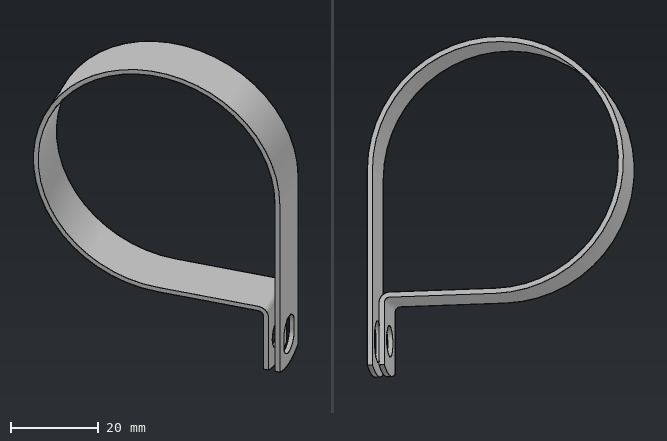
import cadquery as cq
import math

total_height = 76.55
loop_diameter = 59.55
strap_width = 12.7
thickness = 1.2
tab_gap = 1.5
bend_inner_radius = 1.2
hole_diameter = 7.1
slot_length = 9.5
hole_height = 7.95
end_radius = 15.0

outer_radius = loop_diameter / 2
inner_radius = outer_radius - thickness
bottom_z = outer_radius - total_height
short_tab_outer_x = inner_radius - tab_gap
short_tab_inner_x = short_tab_outer_x - thickness
bend_outer_radius = bend_inner_radius + thickness
bend_center_x = short_tab_outer_x - bend_outer_radius
bend_center_z = -outer_radius - bend_inner_radius


def on_circle(radius, degrees, center_x=0.0, center_z=0.0):
    """Point at an angle on a circle in the XZ plane."""
    angle = math.radians(degrees)
    return (center_x + radius * math.cos(angle), center_z + radius * math.sin(angle))


def bend_middle(radius):
    """Middle of the quarter bend above the short tab."""
    return on_circle(radius, 45, bend_center_x, bend_center_z)


def make_strap():
    """Bent strip: long tab, three-quarter loop, flat run, bend and short tab."""
    return (
        cq.Workplane("XZ")
        .moveTo(outer_radius, bottom_z)
        .lineTo(outer_radius, 0)
        .threePointArc(on_circle(outer_radius, 135), (0, -outer_radius))
        .lineTo(bend_center_x, -outer_radius)
        .threePointArc(bend_middle(bend_inner_radius), (short_tab_inner_x, bend_center_z))
        .lineTo(short_tab_inner_x, bottom_z)
        .lineTo(short_tab_outer_x, bottom_z)
        .lineTo(short_tab_outer_x, bend_center_z)
        .threePointArc(bend_middle(bend_outer_radius), (bend_center_x, -inner_radius))
        .lineTo(0, -inner_radius)
        .threePointArc(on_circle(inner_radius, 135), (inner_radius, 0))
        .lineTo(inner_radius, bottom_z)
        .close()
        .extrude(strap_width / 2, both=True)
    )


def make_side_outline():
    """Strap silhouette along X, with rounded tab ends."""
    half_width = strap_width / 2
    end_rise = end_radius - math.sqrt(end_radius**2 - half_width**2)
    corner_z = bottom_z + end_rise
    return (
        cq.Workplane("YZ", origin=(-outer_radius, 0, 0))
        .moveTo(-half_width, outer_radius)
        .lineTo(-half_width, corner_z)
        .threePointArc((0, bottom_z), (half_width, corner_z))
        .lineTo(half_width, outer_radius)
        .close()
        .extrude(loop_diameter)
    )


def tab_face(inner_x):
    """Workplane on a tab's inner face, centred on the fastener."""
    return cq.Workplane("YZ", origin=(inner_x, 0, bottom_z + hole_height))


short_tab_hole = tab_face(short_tab_inner_x).circle(hole_diameter / 2).extrude(thickness)
long_tab_slot = tab_face(inner_radius).slot2D(slot_length, hole_diameter, 90).extrude(thickness)

result = make_strap().intersect(make_side_outline()).cut(short_tab_hole).cut(long_tab_slot)